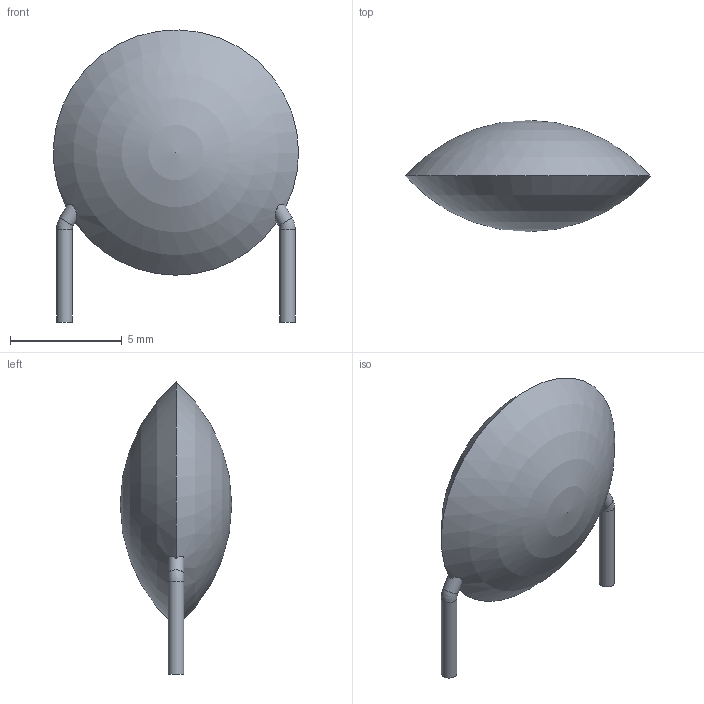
import cadquery as cq
import math

body_diameter = 11.0
body_thickness = 5.0

lead_diameter = 0.7
lead_pitch = 10.0
lead_bottom_z = -7.6
lead_straight_length = 4.15
bend_radius = 0.7
bend_angle = 30.0
lead_tail_length = 0.9


def make_body():
    """Revolve half of the lens section about the Y axis."""
    body_radius = body_diameter / 2
    half_thickness = body_thickness / 2
    sphere_radius = (body_radius**2 + half_thickness**2) / (2 * half_thickness)
    half_cap_angle = math.asin(body_radius / sphere_radius) / 2
    arc_mid_x = sphere_radius * math.sin(half_cap_angle)
    arc_mid_y = half_thickness - sphere_radius * (1 - math.cos(half_cap_angle))
    return (
        cq.Workplane("XY")
        .moveTo(0, -half_thickness)
        .threePointArc((arc_mid_x, -arc_mid_y), (body_radius, 0))
        .threePointArc((arc_mid_x, arc_mid_y), (0, half_thickness))
        .close()
        .revolve(360, (0, 0, 0), (0, 1, 0))
    )


def make_left_lead():
    """Sweep the wire up from its foot, round the bend and into the body."""
    lead_x = -lead_pitch / 2
    bend_start_z = lead_bottom_z + lead_straight_length
    bend_centre_x = lead_x + bend_radius

    def bend_point(angle_degrees):
        angle = math.radians(angle_degrees)
        return (
            bend_centre_x - bend_radius * math.cos(angle),
            bend_start_z + bend_radius * math.sin(angle),
        )

    bend_end_x, bend_end_z = bend_point(bend_angle)
    tail_angle = math.radians(bend_angle)
    tail_end = (
        bend_end_x + lead_tail_length * math.sin(tail_angle),
        bend_end_z + lead_tail_length * math.cos(tail_angle),
    )
    path = (
        cq.Workplane("XZ")
        .moveTo(lead_x, lead_bottom_z)
        .lineTo(lead_x, bend_start_z)
        .threePointArc(bend_point(bend_angle / 2), (bend_end_x, bend_end_z))
        .lineTo(*tail_end)
    )
    return (
        cq.Workplane("XY", origin=(lead_x, 0, lead_bottom_z))
        .circle(lead_diameter / 2)
        .sweep(path)
    )


left_lead = make_left_lead()
right_lead = left_lead.mirror("YZ")
result = make_body().union(left_lead).union(right_lead)